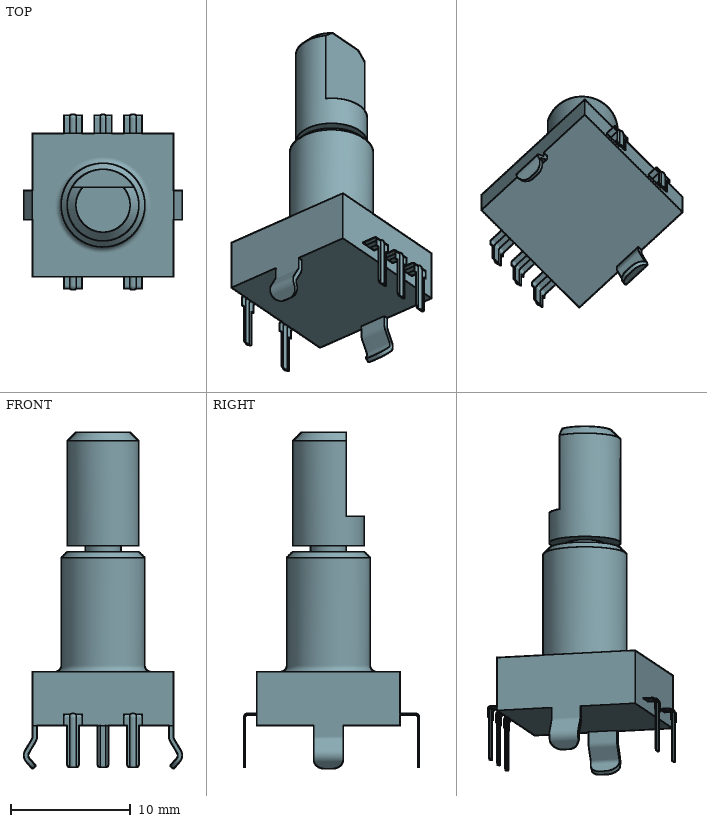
import cadquery as cq
import math


block_x = 11.8
block_y = 12.0
block_height = 4.5
bushing_diameter = 7.0
bushing_length = 10.02
bushing_top = block_height + bushing_length
bushing_edge = 0.5

shaft_diameter = 6.0
neck_diameter = 3.0
neck_length = 0.48
shaft_length = 9.5
shaft_chamfer = 0.73
flat_length = 7.0
flat_offset = 1.5

clip_width = 2.48
clip_thickness = 0.4
clip_knee_depth = 1.05
clip_elbow_x = 6.8
clip_elbow_depth = 2.6
clip_tip_x = block_x / 2
clip_depth = 3.63
clip_inner_radius = 0.4
clip_outer_radius = clip_inner_radius + clip_thickness
clip_tip_radius = 0.98

pin_pitch = 2.5
pin_thickness = 0.05
pin_rib_height = 0.08
pin_bend_radius = 0.25
pin_top = 0.93
pin_depth = 3.5
rear_pin_reach = 7.5
front_pin_reach = 7.0
wide_pin_sizes = (1.52, 1.0, 0.5)
slim_pin_sizes = (1.45, 0.93, 0.45)


def offset_line(start, end, distance):
    """Shift a line sideways, to its left when looking from start to end."""
    length = math.dist(start, end)
    dx = -(end[1] - start[1]) / length * distance
    dz = (end[0] - start[0]) / length * distance
    return (start[0] + dx, start[1] + dz), (end[0] + dx, end[1] + dz)


def line_crossing(first, second):
    """Point where two infinite lines meet."""
    (ax, az), (bx, bz) = first
    (cx, cz), (dx, dz) = second
    ux, uz = bx - ax, bz - az
    vx, vz = dx - cx, dz - cz
    along = ((cx - ax) * vz - (cz - az) * vx) / (ux * vz - uz * vx)
    return ax + along * ux, az + along * uz


def make_clip():
    """Bent strip at the -X side of the block, with a rounded tip."""
    outer = [
        (-block_x / 2, 0),
        (-block_x / 2, -clip_knee_depth),
        (-clip_elbow_x, -clip_elbow_depth),
        (-clip_tip_x, -clip_depth),
    ]
    shifted = [offset_line(a, b, clip_thickness) for a, b in zip(outer, outer[1:])]
    inner_knee = line_crossing(shifted[0], shifted[1])
    inner_elbow = line_crossing(shifted[1], shifted[2])
    inner = [shifted[0][0], inner_knee, inner_elbow, shifted[2][1]]
    clip = (
        cq.Workplane("XZ")
        .polyline(outer + inner[::-1])
        .close()
        .extrude(clip_width / 2, both=True)
    )

    tip_middle = ((outer[3][0] + inner[3][0]) / 2, (outer[3][1] + inner[3][1]) / 2)
    for side in (-1, 1):
        corner = (tip_middle[0], side * clip_width / 2, tip_middle[1])
        tip_edge = cq.selectors.NearestToPointSelector(corner)
        clip = clip.edges(tip_edge).fillet(clip_tip_radius)
    for point, radius in (
        (outer[1], clip_inner_radius),
        (inner[1], clip_outer_radius),
        (outer[2], clip_outer_radius),
        (inner[2], clip_inner_radius),
    ):
        bend_edge = cq.selectors.NearestToPointSelector((point[0], 0, point[1]))
        clip = clip.edges("|Y").edges(bend_edge).fillet(radius)
    return clip


def make_housing():
    """Block with a round bushing on top and two snap clips below."""
    block = cq.Workplane("XY").box(block_x, block_y, block_height, centered=(True, True, False))
    root_radius = bushing_diameter / 2 + bushing_edge
    top_radius = bushing_diameter / 2 - bushing_edge
    bushing = (
        cq.Workplane("XZ")
        .moveTo(0, block_height)
        .lineTo(root_radius, block_height)
        .radiusArc((bushing_diameter / 2, block_height + bushing_edge), bushing_edge)
        .lineTo(bushing_diameter / 2, bushing_top - bushing_edge)
        .lineTo(top_radius, bushing_top)
        .lineTo(0, bushing_top)
        .close()
        .revolve(360, (0, 0, 0), (0, 1, 0))
    )
    clip = make_clip()
    return block.union(bushing).union(clip).union(clip.mirror("YZ"))


def make_shaft():
    """D-shaft standing on a thin neck above the bushing."""
    neck = cq.Workplane("XY", origin=(0, 0, bushing_top)).circle(neck_diameter / 2).extrude(neck_length)
    shaft_bottom = bushing_top + neck_length
    shaft = (
        cq.Workplane("XY", origin=(0, 0, shaft_bottom))
        .circle(shaft_diameter / 2)
        .extrude(shaft_length)
        .faces(">Z")
        .chamfer(shaft_chamfer)
    )
    flat_cut = cq.Workplane("XY", origin=(0, flat_offset, shaft_bottom + shaft_length - flat_length)).box(
        shaft_diameter, shaft_diameter, flat_length, centered=(True, False, False)
    )
    return neck.union(shaft.cut(flat_cut))


def make_pin(sizes, reach):
    """Ribbed strip that leaves the -Y side of the block and bends down into a leg."""
    shoulder_width, leg_width, rib_width = sizes
    face_y = -block_y / 2
    strip_bottom = pin_top - pin_thickness
    inner_radius = pin_bend_radius - pin_thickness
    inner_y = -reach + pin_thickness

    path = (
        cq.Workplane("YZ")
        .moveTo(face_y, strip_bottom)
        .lineTo(inner_y + inner_radius, strip_bottom)
        .radiusArc((inner_y, strip_bottom - inner_radius), -inner_radius)
        .lineTo(inner_y, -pin_depth)
    )
    strip = (
        cq.Workplane("XZ", origin=(0, face_y, strip_bottom))
        .moveTo(-shoulder_width / 2, 0)
        .lineTo(shoulder_width / 2, 0)
        .lineTo(shoulder_width / 2, pin_thickness)
        .lineTo(rib_width / 2, pin_thickness)
        .threePointArc((0, pin_thickness + pin_rib_height), (-rib_width / 2, pin_thickness))
        .lineTo(-shoulder_width / 2, pin_thickness)
        .close()
        .sweep(path)
    )

    outline_depth = reach + pin_rib_height
    outline_height = pin_top + pin_rib_height
    shoulder_outline = (
        cq.Workplane("XZ", origin=(0, 0, outline_height / 2))
        .rect(shoulder_width, outline_height)
        .extrude(outline_depth)
    )
    leg_outline = (
        cq.Workplane("XZ", origin=(0, 0, -pin_depth / 2))
        .rect(leg_width, pin_depth)
        .extrude(outline_depth)
        .edges("|Y and <Z")
        .fillet((leg_width - rib_width) / 2)
    )
    return strip.intersect(shoulder_outline.union(leg_outline))


housing = make_housing()
shaft = make_shaft()

front_pins = [
    make_pin(wide_pin_sizes, front_pin_reach).translate((x, 0, 0))
    for x in (-pin_pitch, pin_pitch)
]
rear_pins = []
for x, sizes in ((-pin_pitch, wide_pin_sizes), (0, slim_pin_sizes), (pin_pitch, wide_pin_sizes)):
    pin = make_pin(sizes, rear_pin_reach).rotate((0, 0, 0), (0, 0, 1), 180)
    rear_pins.append(pin.translate((x, 0, 0)))

pins = front_pins + rear_pins
result = cq.Compound.makeCompound([housing.val(), shaft.val(), *[pin.val() for pin in pins]])